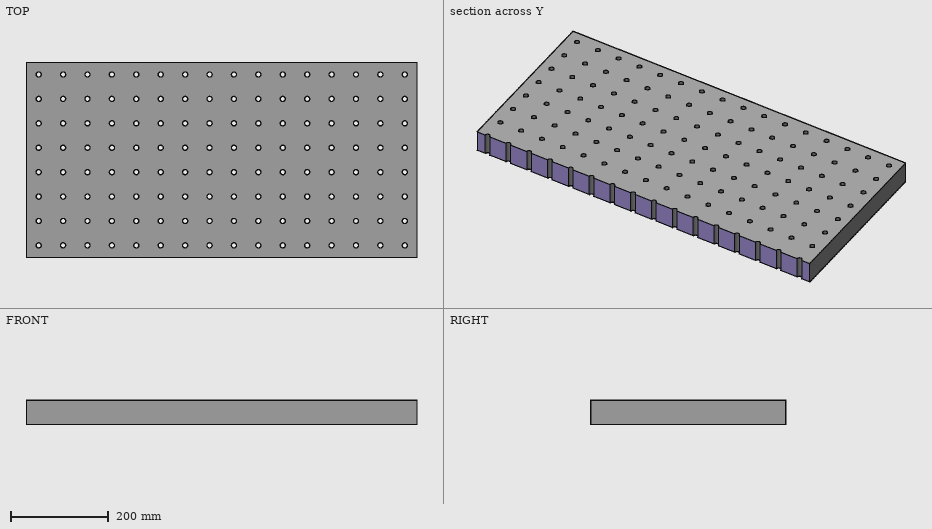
import cadquery as cq

LENGTH = 800.0
WIDTH = 400.0
THICKNESS = 50.0

HOLE_PITCH = 50.0
HOLE_DIAMETER = 10.11
COLUMNS = round(LENGTH / HOLE_PITCH)
ROWS = round(WIDTH / HOLE_PITCH)


def make_plate():
    """Rectangular plate centred on X and Y, standing on Z = 0."""
    return cq.Workplane("XY").box(LENGTH, WIDTH, THICKNESS, centered=(True, True, False))


def drill_hole_grid(plate):
    """Drill the grid of plain holes through the full thickness."""
    return (
        plate.faces(">Z")
        .workplane()
        .rarray(HOLE_PITCH, HOLE_PITCH, COLUMNS, ROWS)
        .hole(HOLE_DIAMETER)
    )


result = drill_hole_grid(make_plate())